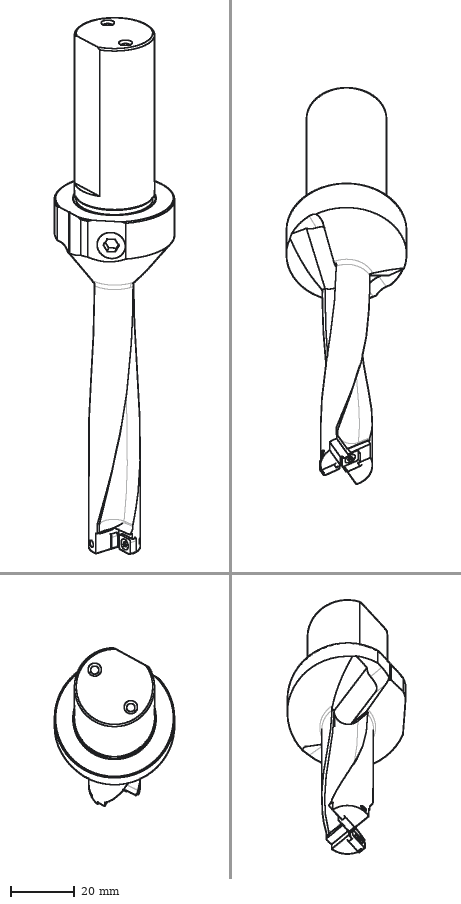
import cadquery as cq
import math

total_length = 177.63
shank_radius = 12.7
shank_length = 57.15
shank_top_chamfer = 0.6
shank_flat_distance = 10.85
shank_flat_length = 51.3

neck_radius = 12.2
neck_length = 1.7
neck_chamfer = shank_radius - neck_radius
relief_radius = 13.2
relief_depth = 0.3

flange_radius = 19.05
flange_height = 12.8
flange_top_chamfer = 0.4
flange_flat_distance = 18.05
flange_flat_angles = (-90, -45)
index_groove_width = 0.5
index_groove_depth = 0.3

drill_radius = 8.2
cone_height = 14.1
cone_fillet = 3.0

flange_top = total_length - shank_length
flange_bottom = flange_top - flange_height
cone_bottom = flange_bottom - cone_height

flute_wall = 0.3
flute_arc_radius = 4.5
flute_arc_start = -4.0
flute_lip = -7.2
flute_reach = 20.0
flute_twist = 88.0
twist_end = 10.0
flute_angles = (0, 184)
flute_top = cone_bottom

end_slot_radius = 3.0
runout_radius = 4.0
lower_end = 6.5
runout_right = -0.3
runout_overrun = 0.9
runout_top = flange_bottom + runout_overrun
runout_slope = 0.92

pocket_side = 1.0
deck_depth = 0.9
pocket_overlap = 0.5

insert_width = 6.0
insert_height = 5.2
insert_thickness = 2.4
insert_corner = 0.8
insert_face = 0.1
outer_insert_x = 5.45
inner_insert_x = 1.4
clearance_height = 4.2
screw_radius = 1.1
screw_head_radius = 1.8
screw_head_height = 1.0
screw_length = 5.1
screw_socket_radius = 0.8
screw_socket_depth = 0.6

coolant_holes = ((-7.7, 3.2), (8.15, -1.8))
coolant_radius = 1.3
coolant_mouth_radius = 2.1
coolant_depth = shank_length
plug_radius = 4.5
plug_length = 6.0
plug_offset = 1.4
plug_height = 112.1
plug_socket_flats = 4.3
plug_socket_depth = 3.0

far = 3 * flange_radius


def turned_about_axis(shape, angle):
    return shape.rotate((0, 0, 0), (0, 0, 1), angle)


def turned_blank():
    """Shank, relief, flange, cone and drill as one turned shape."""
    neck_top = flange_top + neck_length
    profile = (
        cq.Workplane("XZ")
        .polyline([
            (0, 0),
            (drill_radius, 0),
            (drill_radius, cone_bottom),
            (flange_radius, flange_bottom),
            (flange_radius, flange_top - flange_top_chamfer),
            (flange_radius - flange_top_chamfer, flange_top),
            (relief_radius, flange_top),
            (relief_radius - relief_depth, flange_top - relief_depth),
            (neck_radius, flange_top - relief_depth),
            (neck_radius, neck_top - neck_chamfer),
            (shank_radius, neck_top),
            (shank_radius, total_length - shank_top_chamfer),
            (shank_radius - shank_top_chamfer, total_length),
            (0, total_length),
        ])
        .close()
    )
    blank = profile.revolve(360, (0, 0, 0), (0, 1, 0))
    half_band = cone_fillet / 2
    corner = cq.selectors.BoxSelector(
        (-far, -far, cone_bottom - half_band), (far, far, cone_bottom + half_band), boundingbox=True
    )
    return blank.edges(corner).fillet(cone_fillet)


def shank_flat():
    return (
        cq.Workplane("XY", origin=(0, -shank_flat_distance - far / 2, total_length - shank_flat_length))
        .box(far, far, far, centered=(True, True, False))
    )


def flange_flat(angle):
    """Removes everything beyond a flat whose normal points along the angle."""
    block = (
        cq.Workplane("XY", origin=(flange_flat_distance + far / 2, 0, cone_bottom))
        .box(far, far, shank_length, centered=(True, True, False))
    )
    return turned_about_axis(block, angle)


def index_groove():
    half = index_groove_width / 2
    return (
        cq.Workplane("XY", origin=(0, -flange_flat_distance, cone_bottom))
        .polyline([(-half, 0), (half, 0), (0, index_groove_depth)])
        .close()
        .extrude(flange_top - cone_bottom)
    )


def flute_profile(height):
    """Flute cross-section: wall on the right, round floor on top, open to front and left."""
    center_x = flute_wall - flute_arc_radius
    lip_angle = math.acos((flute_lip - center_x) / flute_arc_radius)

    def arc_point(angle):
        return (
            center_x + flute_arc_radius * math.cos(angle),
            flute_arc_start + flute_arc_radius * math.sin(angle),
        )

    lip_y = arc_point(lip_angle)[1]
    return (
        cq.Workplane("XY", origin=(0, 0, height))
        .moveTo(flute_wall, -flute_reach)
        .lineTo(flute_wall, flute_arc_start)
        .threePointArc(arc_point(lip_angle / 2), (flute_lip, lip_y))
        .lineTo(-flute_reach, lip_y)
        .lineTo(-flute_reach, -flute_reach)
        .close()
    )


def round_corner_slot(right, radius, start, end):
    """Slot along Y whose end has a round right-hand half and runs on straight to the left."""
    arc_height = end - math.copysign(radius, end - start)
    center_x = right - radius
    bulge = radius * math.sqrt(0.5)
    return (
        cq.Workplane("XZ", origin=(0, far / 2, 0))
        .moveTo(right, start)
        .lineTo(right, arc_height)
        .threePointArc(
            (center_x + bulge, arc_height + math.copysign(bulge, end - start)),
            (center_x, end),
        )
        .lineTo(-flute_reach, end)
        .lineTo(-flute_reach, start)
        .close()
        .extrude(far)
    )


def twisted_flute():
    """The lead tightens downwards: the turned angle grows with the square of the depth.

    The guide keeps a unit distance from the axis, so its length stays close to the depth.
    """
    length = flute_top - twist_end
    spine = cq.Workplane("XZ").moveTo(0, flute_top).lineTo(0, twist_end)

    def guide_point(t):
        angle = -math.radians(flute_twist) * t ** 2
        return (math.cos(angle), math.sin(angle), flute_top - length * t)

    guide = cq.Workplane("XY").parametricCurve(guide_point, N=40)
    return flute_profile(flute_top).sweep(spine, auxSpine=guide)


def straight_flute_end():
    """Untwisted last stretch of the flute, rounded where it stops above the insert."""
    straight = flute_profile(0).extrude(twist_end)
    slot = round_corner_slot(flute_wall, end_slot_radius, twist_end, lower_end)
    return turned_about_axis(straight.intersect(slot), -flute_twist)


def tip_pocket():
    """Square corner cut out of the cutting end, with the insert deck as its floor."""
    return (
        cq.Workplane("XY", origin=(-pocket_side - far, -deck_depth, 0))
        .box(far, far, lower_end + pocket_overlap, centered=False)
    )


def flute_runout():
    """The flute climbs outwards through the cone inside a slot with a round top."""
    rise = runout_top - flute_top
    path = (
        cq.Workplane("YZ")
        .moveTo(0, flute_top)
        .lineTo(-runout_slope * rise, flute_top + rise)
    )
    climbing = flute_profile(flute_top).sweep(path, transition="right")
    slot = round_corner_slot(runout_right, runout_radius, flute_top, runout_top)
    return climbing.intersect(slot)


def insert_blank(x):
    return (
        cq.Workplane("XZ", origin=(x, -insert_face, insert_height / 2))
        .rect(insert_width, insert_height)
        .extrude(-insert_thickness)
        .edges("|Y")
        .fillet(insert_corner)
    )


def screw_blank(x, length):
    tip = length - insert_face
    return (
        cq.Workplane("XY", origin=(x, 0, insert_height / 2))
        .polyline([
            (0, -insert_face),
            (screw_head_radius, -insert_face),
            (screw_radius, screw_head_height - insert_face),
            (screw_radius, tip),
            (0, tip),
        ])
        .close()
        .revolve(360, (0, 0, 0), (0, 1, 0))
    )


def cutting_insert(x, angle):
    return turned_about_axis(insert_blank(x).cut(screw_blank(x, screw_length)), angle)


def insert_screw(x, angle):
    socket = (
        cq.Workplane("XZ", origin=(x, -insert_face, insert_height / 2))
        .polygon(6, 2 * screw_socket_radius)
        .extrude(-screw_socket_depth)
    )
    return turned_about_axis(screw_blank(x, screw_length).cut(socket), angle)


def insert_seat(x, angle):
    """Insert pocket with a screw hole running out through the drill's back."""
    seat = insert_blank(x).union(screw_blank(x, 2 * drill_radius))
    return turned_about_axis(seat, angle)


def inner_clearance():
    """Chip space in front of the inner insert, opening toward +Y."""
    return (
        cq.Workplane("XY", origin=(-inner_insert_x, insert_face, 0))
        .box(insert_width, drill_radius, clearance_height, centered=(True, False, False))
    )


insert_places = ((outer_insert_x, 0), (inner_insert_x, 180))


def coolant_bore(place):
    flare = coolant_mouth_radius - coolant_radius
    bottom = total_length - coolant_depth
    return (
        cq.Workplane("XZ", origin=(place[0], place[1], 0))
        .polyline([
            (0, bottom),
            (coolant_radius, bottom),
            (coolant_radius, total_length - flare),
            (coolant_mouth_radius, total_length),
            (0, total_length),
        ])
        .close()
        .revolve(360, (0, 0, 0), (0, 1, 0))
    )


plug_plane = cq.Workplane("YZ", origin=(flange_flat_distance, plug_offset, plug_height))


def plug_blank():
    return turned_about_axis(plug_plane.circle(plug_radius).extrude(-plug_length), flange_flat_angles[1])


def coolant_plug():
    socket = (
        plug_plane.polygon(6, plug_socket_flats / math.cos(math.pi / 6))
        .extrude(-plug_socket_depth)
    )
    return plug_blank().cut(turned_about_axis(socket, flange_flat_angles[1]))


body = turned_blank().cut(shank_flat()).cut(index_groove())
for flat_angle in flange_flat_angles:
    body = body.cut(flange_flat(flat_angle))
for flute_angle in flute_angles:
    for flute_part in (twisted_flute(), straight_flute_end(), flute_runout()):
        body = body.cut(turned_about_axis(flute_part, flute_angle))
body = body.cut(inner_clearance())
for x, angle in insert_places:
    body = body.cut(turned_about_axis(tip_pocket(), angle))
    body = body.cut(insert_seat(x, angle))
for hole in coolant_holes:
    body = body.cut(coolant_bore(hole))
body = body.cut(plug_blank())

inserts = [cutting_insert(*place).val() for place in insert_places]
screws = [insert_screw(*place).val() for place in insert_places]
plug = coolant_plug()

result = cq.Compound.makeCompound([*body.vals(), *inserts, *screws, plug.val()])